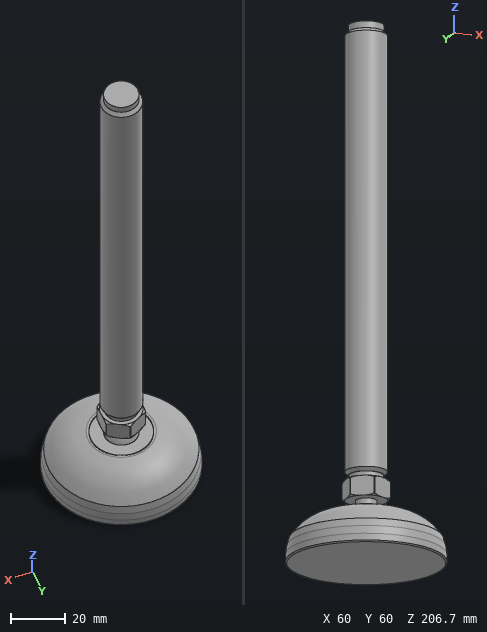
import cadquery as cq
import math

total_height = 206.7

foot_radius = 30.0
rim_band_height = 3.0
rim_mid_height = 6.2
rim_chamfer = 0.52
rim_mid_radius = 29.5
dome_base_height = 9.3
dome_base_radius = 28.7
dome_top_height = 19.0
dome_top_radius = 13.0
dome_bulge = 2.0

socket_radius = 12.0
socket_depth = 0.5

ball_radius = 7.2
stud_diameter = 8.0
stud_radius = stud_diameter / 2
ball_top = 21.7

hex_across_flats = 16.0
hex_bottom = 24.0
hex_height = 7.6
hex_corner_diameter = 18.2
hex_face_radius = 8.0
hex_chamfer_height = 0.6

spindle_diameter = 16.0
spindle_radius = spindle_diameter / 2
neck_radius = 6.5
tip_radius = 6.6
tip_length = 2.7
spindle_chamfer = spindle_radius - tip_radius
spindle_bottom = 33.7

hex_top = hex_bottom + hex_height
socket_floor = dome_top_height - socket_depth


def turned(profile):
    """Revolve a closed radius-height profile about the Z axis."""
    return profile.close().revolve(360, (0, 0, 0), (0, 1, 0))


def make_foot():
    mid_radius = (dome_base_radius + dome_top_radius) / 2
    mid_height = (dome_base_height + dome_top_height) / 2
    chord_run = dome_base_radius - dome_top_radius
    chord_rise = dome_top_height - dome_base_height
    chord = math.hypot(chord_run, chord_rise)
    dome_middle = (
        mid_radius + dome_bulge * chord_rise / chord,
        mid_height + dome_bulge * chord_run / chord,
    )
    profile = (
        cq.Workplane("XZ")
        .lineTo(foot_radius - rim_chamfer, 0)
        .lineTo(foot_radius, rim_chamfer)
        .lineTo(foot_radius, rim_band_height)
        .lineTo(rim_mid_radius, rim_mid_height)
        .lineTo(dome_base_radius, dome_base_height)
        .threePointArc(dome_middle, (dome_top_radius, dome_top_height))
        .lineTo(socket_radius, dome_top_height)
        .lineTo(socket_radius, socket_floor)
        .lineTo(0, socket_floor)
    )
    return turned(profile)


def make_stud():
    ball_centre = ball_top - math.sqrt(ball_radius**2 - stud_radius**2)
    rise = socket_floor - ball_centre
    floor_radius = math.sqrt(ball_radius**2 - rise**2)
    profile = (
        cq.Workplane("XZ")
        .moveTo(0, socket_floor)
        .lineTo(floor_radius, socket_floor)
        .radiusArc((stud_radius, ball_top), -ball_radius)
        .lineTo(stud_radius, hex_bottom)
        .lineTo(0, hex_bottom)
    )
    return turned(profile)


def make_hexagon():
    across_corners = hex_across_flats / math.cos(math.pi / 6)
    prism = (
        cq.Workplane("XY", origin=(0, 0, hex_bottom))
        .transformed(rotate=(0, 0, 90))
        .polygon(6, across_corners)
        .extrude(hex_height)
    )
    corner_radius = hex_corner_diameter / 2
    corner_trim = (
        cq.Workplane("XZ")
        .moveTo(0, hex_bottom)
        .lineTo(hex_face_radius, hex_bottom)
        .lineTo(corner_radius, hex_bottom + hex_chamfer_height)
        .lineTo(corner_radius, hex_top - hex_chamfer_height)
        .lineTo(hex_face_radius, hex_top)
        .lineTo(0, hex_top)
    )
    return prism.intersect(turned(corner_trim))


def make_spindle():
    shoulder = total_height - tip_length
    profile = (
        cq.Workplane("XZ")
        .moveTo(0, hex_top)
        .lineTo(neck_radius, hex_top)
        .lineTo(neck_radius, spindle_bottom)
        .lineTo(tip_radius, spindle_bottom)
        .lineTo(spindle_radius, spindle_bottom + spindle_chamfer)
        .lineTo(spindle_radius, shoulder - spindle_chamfer)
        .lineTo(tip_radius, shoulder)
        .lineTo(tip_radius, total_height)
        .lineTo(0, total_height)
    )
    return turned(profile)


result = make_foot().union(make_stud()).union(make_hexagon()).union(make_spindle())